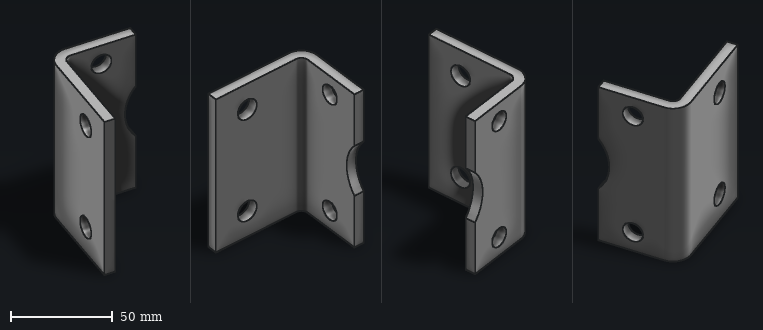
import cadquery as cq

width = 61.0
depth = 46.0
height = 95.0

thickness = 6.0
inner_bend_radius = 4.0
outer_bend_radius = inner_bend_radius + thickness

front_hole_diameter = 12.0
front_hole_x = 41.0
front_hole_spacing = 63.0

side_hole_diameter = 11.0
side_hole_y = 27.0
side_hole_spacing = 72.0

notch_radius = 23.0
notch_depth = 6.0

mid_height = height / 2


def make_bent_sheet():
    """L section with its outer corner at the origin, rounded at the bend."""
    section = (
        cq.Workplane("XY")
        .polyline([
            (0, 0),
            (width, 0),
            (width, thickness),
            (thickness, thickness),
            (thickness, depth),
            (0, depth),
        ])
        .close()
        .extrude(height)
    )
    outer_corner = cq.NearestToPointSelector((0, 0, mid_height))
    section = section.edges("|Z").edges(outer_corner).fillet(outer_bend_radius)
    inner_corner = cq.NearestToPointSelector((thickness, thickness, mid_height))
    return section.edges("|Z").edges(inner_corner).fillet(inner_bend_radius)


def make_front_hole_pair():
    """Cylinders through the front flange, placed evenly about mid height."""
    offset = front_hole_spacing / 2
    return (
        cq.Workplane("XZ")
        .pushPoints([(front_hole_x, mid_height - offset), (front_hole_x, mid_height + offset)])
        .circle(front_hole_diameter / 2)
        .extrude(-thickness)
    )


def make_side_hole_pair():
    """Cylinders through the side flange, placed evenly about mid height."""
    offset = side_hole_spacing / 2
    return (
        cq.Workplane("YZ")
        .pushPoints([(side_hole_y, mid_height - offset), (side_hole_y, mid_height + offset)])
        .circle(side_hole_diameter / 2)
        .extrude(thickness)
    )


def make_edge_notch():
    """Cylinder centred beyond the free edge, so only a shallow arc is cut."""
    notch_center_y = depth - notch_depth + notch_radius
    return (
        cq.Workplane("YZ")
        .center(notch_center_y, mid_height)
        .circle(notch_radius)
        .extrude(thickness)
    )


result = (
    make_bent_sheet()
    .cut(make_front_hole_pair())
    .cut(make_side_hole_pair())
    .cut(make_edge_notch())
)